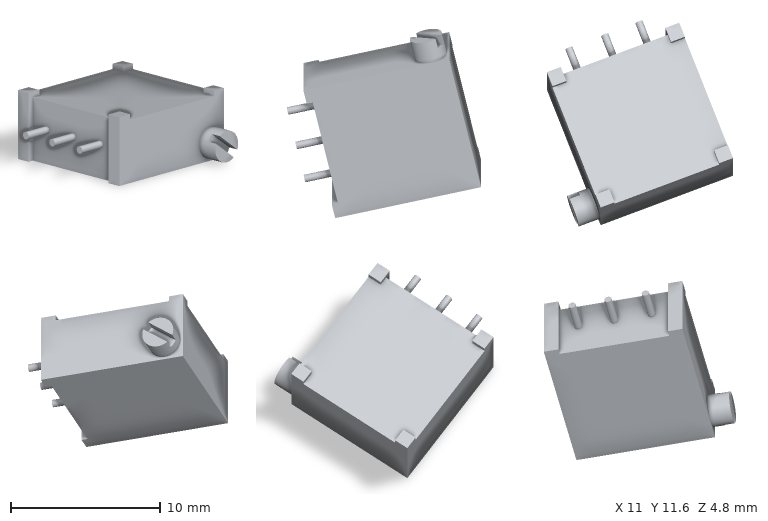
import cadquery as cq

housing_width = 9.52
housing_height = 4.8
rear_y = 11.63

pin_length = 2.0
pin_diameter = 0.51
pin_left_spacing = 2.47
pin_right_spacing = 2.57
pin_middle_x = housing_width / 2
pin_z = housing_height / 2
pin_positions_x = [
    pin_middle_x - pin_left_spacing,
    pin_middle_x,
    pin_middle_x + pin_right_spacing,
]

standoff_width = 1.0
standoff_rise = 0.37
front_standoff_depth = 1.05
front_standoff_projection = 0.42
rear_standoff_depth = 0.97

front_face_y = pin_length
front_standoff_y = front_face_y - front_standoff_projection
rear_standoff_y = rear_y - rear_standoff_depth
top_face_z = housing_height - standoff_rise

screw_length = 1.5
screw_diameter = 2.2
screw_edge_offset = 1.27
screw_y = rear_y - screw_edge_offset
screw_z = screw_edge_offset
slot_width = 0.58
slot_depth = 0.75
slot_tilt = -37.0


def box_at(x, y, z, width, depth, height):
    """Box whose lowest corner is at (x, y, z)."""
    return cq.Workplane("XY").box(width, depth, height, centered=False).translate((x, y, z))


def make_housing():
    """Block with two full-height front standoffs and two pads on the rear top corners."""
    body = box_at(0, front_face_y, 0, housing_width, rear_y - front_face_y, top_face_z)
    for x in (0, housing_width - standoff_width):
        front_standoff = box_at(
            x, front_standoff_y, 0, standoff_width, front_standoff_depth, housing_height
        )
        rear_standoff = box_at(
            x, rear_standoff_y, top_face_z, standoff_width, rear_standoff_depth, standoff_rise
        )
        body = body.union(front_standoff).union(rear_standoff)
    return body


def make_pin(x):
    """Round pin that ends on the front face of the housing."""
    return (
        cq.Workplane("XZ", origin=(x, front_face_y, pin_z))
        .circle(pin_diameter / 2)
        .extrude(pin_length)
    )


def make_screw():
    """Cylinder along X with a slot through the whole diameter of its outer end."""
    cylinder = cq.Workplane("YZ").circle(screw_diameter / 2).extrude(screw_length)
    slot = (
        cq.Workplane("YZ", origin=(screw_length - slot_depth, 0, 0))
        .transformed(rotate=(0, 0, slot_tilt))
        .rect(2 * screw_diameter, slot_width)
        .extrude(slot_depth)
    )
    return cylinder.cut(slot).translate((housing_width, screw_y, screw_z))


housing = make_housing()
screw = make_screw()
pins = [make_pin(x).val() for x in pin_positions_x]

result = cq.Compound.makeCompound([housing.val(), screw.val(), *pins])